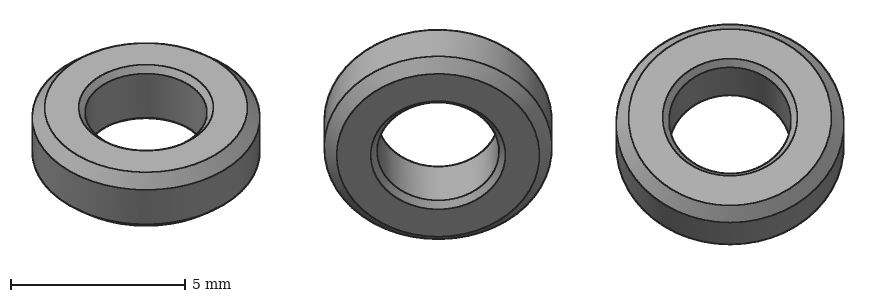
import cadquery as cq

outer_diameter = 6.54
bore_diameter = 3.5
thickness = 2.0
rim_chamfer = 0.36
bore_chamfer = 0.18

disc = cq.Workplane("XY").circle(outer_diameter / 2).extrude(thickness)
disc = disc.faces("|Z").edges().chamfer(rim_chamfer)

bore_edges = cq.selectors.RadiusNthSelector(0)
result = disc.faces(">Z").workplane().hole(bore_diameter)
result = result.edges("%CIRCLE").edges(bore_edges).chamfer(bore_chamfer)